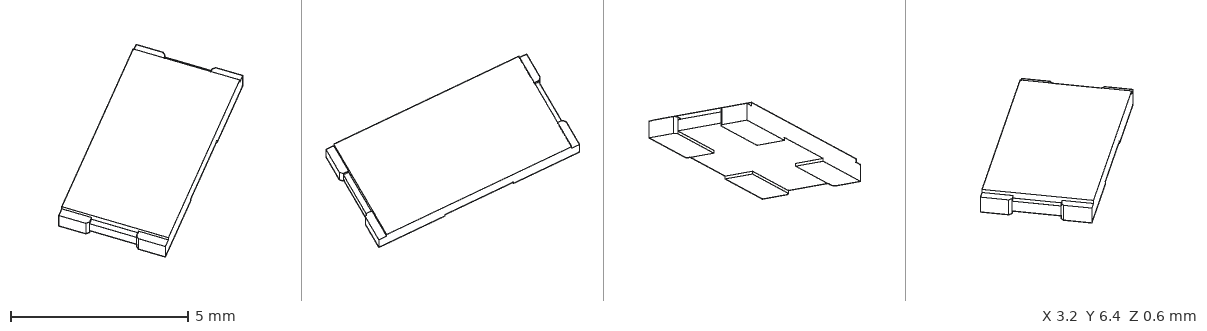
import cadquery as cq

length = 6.4
width = 3.2
height = 0.6

plating = 0.08
terminal_width = 0.895
terminal_height = 0.5
pad_length = 2.11

core_length = length - 2 * plating
core_top = terminal_height - plating
core_thickness = core_top - plating
cover_end_margin = 0.25
cover_length = length - 2 * cover_end_margin
cover_thickness = height - core_top


def plate(size_y, thickness, bottom):
    """Full-width plate centred on the Z axis."""
    return (
        cq.Workplane("XY")
        .box(width, size_y, thickness, centered=(True, True, False))
        .translate((0, 0, bottom))
    )


def terminal():
    """C-shaped terminal at the -X, -Y corner, with its inner end corner chamfered."""
    block = (
        cq.Workplane("XY")
        .box(terminal_width, pad_length, terminal_height, centered=False)
        .translate((-width / 2, -length / 2, 0))
    )
    block = block.edges("|Z and >X and <Y").chamfer(plating)
    upper_relief = (
        cq.Workplane("XY")
        .box(terminal_width, pad_length - cover_end_margin, terminal_height - plating, centered=False)
        .translate((-width / 2, -length / 2 + cover_end_margin, plating))
    )
    return block.cut(upper_relief)


core = plate(core_length, core_thickness, plating)
cover = plate(cover_length, cover_thickness, core_top)
result = core.union(cover)

front_left = terminal()
front_right = front_left.mirror("YZ")
for front_terminal in (front_left, front_right):
    result = result.union(front_terminal).union(front_terminal.mirror("XZ"))